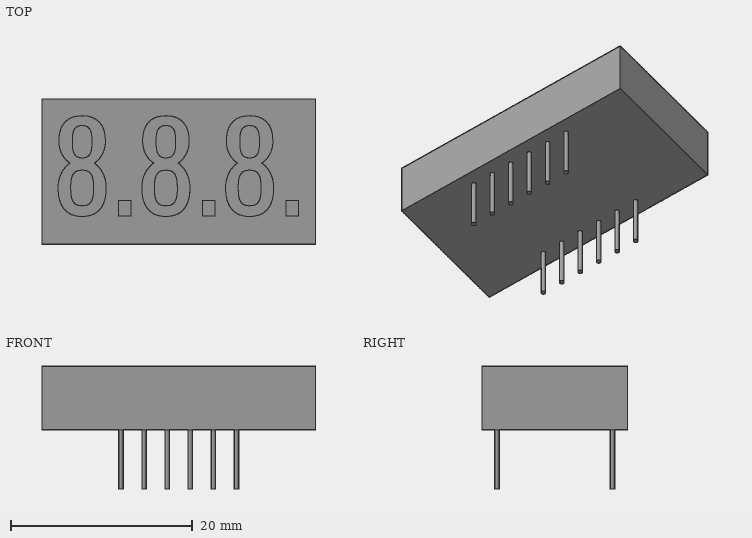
import cadquery as cq


block_length = 30.1
block_width = 16.0
block_height = 7.0

overall_height = 13.5
pin_length = overall_height - block_height
pin_diameter = 0.5
pins_per_row = 6
row_spacing = 12.7
pin_pitch = row_spacing / (pins_per_row - 1)

inlay_depth = 0.3
inlay_floor = block_height - inlay_depth
digit_count = 3
digit_pitch = 9.2
middle_digit_x = -1.4

upper_bowl_y = 3.35
upper_bowl_half_width = 2.55
upper_bowl_half_height = 2.8
lower_bowl_y = -1.8
lower_bowl_half_width = 2.65
lower_bowl_half_height = 3.13
upper_opening_y = 3.28
upper_opening_half_width = 1.08
upper_opening_half_height = 1.78
lower_opening_y = lower_bowl_y
lower_opening_half_width = 1.25
lower_opening_half_height = 1.95

bowl_end_fullness = 0.65
bowl_waist_fullness = 0.57
opening_fullness = 0.74

point_width = 1.38
point_length = 1.65
point_offset_x = 4.7
point_y = -4.03


def oval_prism(center_y, half_width, half_height, top_fullness, bottom_fullness):
    """Oval plug as deep as the inlays, its upper and lower halves made of Bezier quarters."""
    right = (half_width, 0)
    top = (0, half_height)
    left = (-half_width, 0)
    bottom = (0, -half_height)
    top_reach_x = half_width * top_fullness
    top_reach_y = half_height * top_fullness
    bottom_reach_x = half_width * bottom_fullness
    bottom_reach_y = half_height * bottom_fullness
    return (
        cq.Workplane("XY", origin=(0, center_y, inlay_floor))
        .moveTo(*right)
        .bezier([right, (half_width, top_reach_y), (top_reach_x, half_height), top])
        .bezier([top, (-top_reach_x, half_height), (-half_width, top_reach_y), left])
        .bezier([left, (-half_width, -bottom_reach_y), (-bottom_reach_x, -half_height), bottom])
        .bezier([bottom, (bottom_reach_x, -half_height), (half_width, -bottom_reach_y), right])
        .close()
        .extrude(inlay_depth)
    )


def make_digit(center_x):
    """One "8" inlay: two joined bowls with an opening through each."""
    upper_bowl = oval_prism(
        upper_bowl_y, upper_bowl_half_width, upper_bowl_half_height,
        bowl_end_fullness, bowl_waist_fullness,
    )
    lower_bowl = oval_prism(
        lower_bowl_y, lower_bowl_half_width, lower_bowl_half_height,
        bowl_waist_fullness, bowl_end_fullness,
    )
    upper_opening = oval_prism(
        upper_opening_y, upper_opening_half_width, upper_opening_half_height,
        opening_fullness, opening_fullness,
    )
    lower_opening = oval_prism(
        lower_opening_y, lower_opening_half_width, lower_opening_half_height,
        opening_fullness, opening_fullness,
    )
    digit = upper_bowl.union(lower_bowl).cut(upper_opening).cut(lower_opening)
    return digit.translate((center_x, 0, 0))


def make_decimal_point(center_x):
    """One rectangular decimal point inlay."""
    return (
        cq.Workplane("XY", origin=(center_x, point_y, inlay_floor))
        .rect(point_width, point_length)
        .extrude(inlay_depth)
    )


def make_housing(inlays):
    """Block with its pins, recessed to take the inlays."""
    block = cq.Workplane("XY").box(
        block_length, block_width, block_height, centered=(True, True, False)
    )
    pins = (
        cq.Workplane("XY")
        .rarray(pin_pitch, row_spacing, pins_per_row, 2)
        .circle(pin_diameter / 2)
        .extrude(-pin_length)
    )
    body = block.union(pins)
    for inlay in inlays:
        body = body.cut(inlay)
    return body


digits = []
decimal_points = []
for index in range(digit_count):
    digit_x = middle_digit_x + (index - (digit_count - 1) / 2) * digit_pitch
    digits.append(make_digit(digit_x))
    decimal_points.append(make_decimal_point(digit_x + point_offset_x))

housing = make_housing(digits + decimal_points)

result = cq.Compound.makeCompound([
    housing.solids().val(),
    *[digit.solids().val() for digit in digits],
    *[point.solids().val() for point in decimal_points],
])